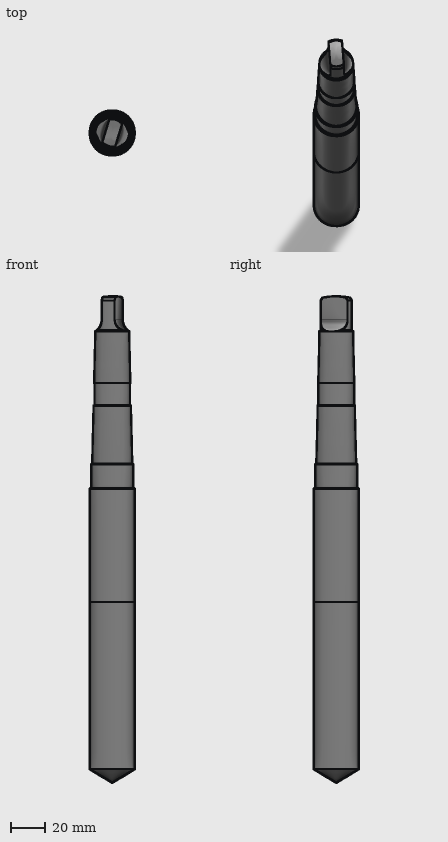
import cadquery as cq
import math

total_length = 286.0
joint_z = 106.5
body_top_z = 173.3
collar_top_z = 187.5
neck_bottom_z = 222.0
neck_top_z = 234.8
shoulder_z = 265.0

body_diameter = 26.5
collar_diameter = 25.0
neck_diameter = 21.2
taper_large_diameter = 23.7
taper_small_diameter = 20.0
tang_diameter = 18.3

point_angle = 118.0
step_chamfer = 0.5
tang_thickness = 8.0
tang_angle = 17.0
flat_bottom_z = 272.3
root_radius = 7.2
dome_height = 1.0
tang_rim_inset = 1.1
tang_rim_height = 1.7

body_radius = body_diameter / 2
collar_radius = collar_diameter / 2
neck_radius = neck_diameter / 2
taper_large_radius = taper_large_diameter / 2
taper_small_radius = taper_small_diameter / 2
tang_radius = tang_diameter / 2


def taper_radius(z):
    """Radius of the conical shank surface at height z."""
    fraction = (z - collar_top_z) / (shoulder_z - collar_top_z)
    return taper_large_radius + fraction * (taper_small_radius - taper_large_radius)


def make_drill():
    """Plain drill cylinder with a conical point."""
    point_height = body_radius / math.tan(math.radians(point_angle / 2))
    return (
        cq.Workplane("XZ")
        .moveTo(0, 0)
        .lineTo(body_radius, point_height)
        .lineTo(body_radius, joint_z)
        .lineTo(0, joint_z)
        .close()
        .revolve(360, (0, 0, 0), (0, 1, 0))
    )


def make_shank_blank():
    """Turned shank: body, collar, relieved taper and round tang with a domed end."""
    rim_radius = tang_radius - tang_rim_inset
    rim_z = total_length - dome_height
    dome_radius = (rim_radius**2 + dome_height**2) / (2 * dome_height)
    dome_mid_x = rim_radius / 2
    dome_mid_z = total_length - dome_radius + math.sqrt(dome_radius**2 - dome_mid_x**2)
    shoulder_chamfer = taper_small_radius - tang_radius
    return (
        cq.Workplane("XZ")
        .moveTo(0, joint_z)
        .lineTo(body_radius, joint_z)
        .lineTo(body_radius, body_top_z - step_chamfer)
        .lineTo(body_radius - step_chamfer, body_top_z)
        .lineTo(collar_radius, body_top_z)
        .lineTo(collar_radius, collar_top_z - step_chamfer)
        .lineTo(taper_large_radius, collar_top_z)
        .lineTo(taper_radius(neck_bottom_z), neck_bottom_z - step_chamfer)
        .lineTo(neck_radius, neck_bottom_z)
        .lineTo(neck_radius, neck_top_z)
        .lineTo(taper_radius(neck_top_z), neck_top_z)
        .lineTo(taper_small_radius, shoulder_z)
        .lineTo(tang_radius, shoulder_z + shoulder_chamfer)
        .lineTo(tang_radius, rim_z - tang_rim_height)
        .lineTo(rim_radius, rim_z)
        .threePointArc((dome_mid_x, dome_mid_z), (0, total_length))
        .close()
        .revolve(360, (0, 0, 0), (0, 1, 0))
    )


def make_flat_cutter(side):
    """Cutter for one tang flat, with a round root that curves outward at its foot."""
    flat_x = tang_thickness / 2
    diagonal = root_radius * math.sqrt(0.5)
    arc_centre_x = flat_x + root_radius
    root_bottom_z = flat_bottom_z - root_radius
    return (
        cq.Workplane("XZ")
        .moveTo(side * flat_x, total_length)
        .lineTo(side * flat_x, flat_bottom_z)
        .threePointArc(
            (side * (arc_centre_x - diagonal), flat_bottom_z - diagonal),
            (side * arc_centre_x, root_bottom_z),
        )
        .lineTo(side * body_diameter, root_bottom_z)
        .lineTo(side * body_diameter, total_length)
        .close()
        .extrude(body_radius, both=True)
        .rotate((0, 0, 0), (0, 0, 1), -tang_angle)
    )


def make_shank():
    shank = make_shank_blank()
    for side in (-1, 1):
        shank = shank.cut(make_flat_cutter(side))
    return shank


drill = make_drill()
shank = make_shank()

result = cq.Compound.makeCompound([drill.val(), shank.val()])